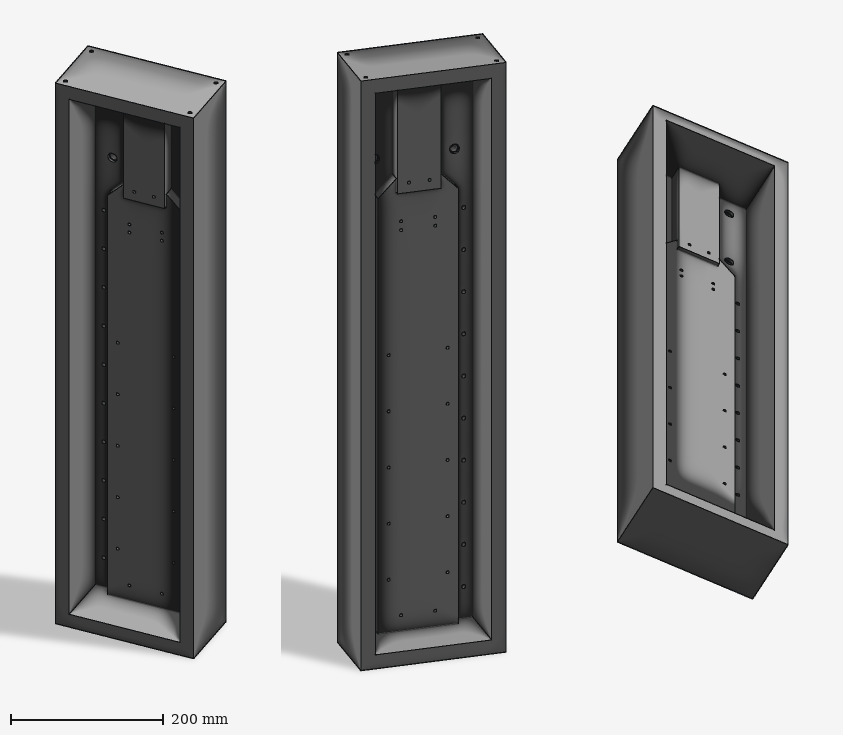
import cadquery as cq

width = 200.0
depth = 100.0
height = 840.0
wall = 20.0
back_thickness = 20.0
floor_y = depth - back_thickness
cavity_top_z = height - wall

block_width = 60.0
block_bottom_z = 645.5
block_thickness = 20.0
block_face_y = floor_y - block_thickness

plate_width = 110.5
plate_thickness = 15.0
plate_shoulder_z = 640.0
plate_top_z = plate_shoulder_z + (plate_width - block_width) / 2
plate_face_y = floor_y - plate_thickness

foot_radius = 0.5
select_margin = 0.1

bolt_diameter = 11.0
bolt_recess_diameter = 13.0
bolt_recess_depth = 4.0
bolt_spacing_x = 110.0
bolt_heights = [690.0, 795.0]

rail_diameter = 5.5
rail_spacing_x = 135.0
rail_first_z = 65.0
rail_pitch = 60.0
rail_count = 10

blind_diameter = 4.0
blind_depth = 12.0
plate_row_spacing_x = 81.0
plate_row_first_z = 95.0
plate_row_pitch = 80.0
plate_row_count = 5
plate_end_spacing_x = 47.0
plate_end_heights = [42.5, 591.0, 603.5]
block_hole_spacing_x = 28.5
block_hole_z = 659.5

corner_diameter = 5.0
corner_depth = 15.0
corner_inset = 10.0


def make_case():
    """Rectangular box, open at the front."""
    case = cq.Workplane("XY").box(width, depth, height, centered=(True, False, False))
    cavity = (
        cq.Workplane("XY", origin=(0, 0, wall))
        .box(width - 2 * wall, floor_y, cavity_top_z - wall, centered=(True, False, False))
    )
    return case.cut(cavity)


def make_plate():
    """Plate from the bottom wall up to its sloping shoulders."""
    half_plate = plate_width / 2
    half_block = block_width / 2
    outline = [
        (-half_plate, wall),
        (half_plate, wall),
        (half_plate, plate_shoulder_z),
        (half_block, plate_top_z),
        (-half_block, plate_top_z),
        (-half_plate, plate_shoulder_z),
    ]
    sketch_plane = cq.Workplane("XZ", origin=(0, floor_y, 0))
    return sketch_plane.polyline(outline).close().extrude(plate_thickness)


def make_block():
    """Block overlapping the top of the plate and reaching the top wall."""
    return (
        cq.Workplane("XY", origin=(0, block_face_y, block_bottom_z))
        .box(
            block_width,
            block_thickness,
            cavity_top_z - block_bottom_z,
            centered=(True, False, False),
        )
    )


def edges_in_plane(y, half_width, bottom_z, top_z):
    """Selector for edges whose centre lies in a rectangle of the plane at the given Y."""
    return cq.selectors.BoxSelector(
        (-half_width - select_margin, y - select_margin, bottom_z - select_margin),
        (half_width + select_margin, y + select_margin, top_z + select_margin),
    )


def round_feet(body):
    """Fillet the inner corners around the floor, the plate face and the block top."""
    floor_edges = edges_in_plane(floor_y, width / 2 - wall, wall, cavity_top_z)
    plate_edges = edges_in_plane(plate_face_y, block_width / 2, wall, plate_top_z)
    block_edges = edges_in_plane(block_face_y, block_width / 2, cavity_top_z, cavity_top_z)
    return body.edges(floor_edges + plate_edges + block_edges).fillet(foot_radius)


def mirrored_points(spacing, heights):
    """Pairs of points on both sides of the centre plane at each height."""
    return [(side * spacing / 2, z) for z in heights for side in (-1, 1)]


def pitched(first, pitch, count):
    """Evenly pitched heights."""
    return [first + pitch * index for index in range(count)]


def drill(body, face_y, points, diameter, length):
    """Cut round holes running toward +Y from the plane at face_y."""
    face_plane = cq.Workplane("XZ", origin=(0, face_y, 0))
    return body.cut(face_plane.pushPoints(points).circle(diameter / 2).extrude(-length))


def drill_back(body):
    """Bolt holes and rail holes through the back."""
    bolt_points = mirrored_points(bolt_spacing_x, bolt_heights)
    rail_points = mirrored_points(rail_spacing_x, pitched(rail_first_z, rail_pitch, rail_count))
    body = drill(body, floor_y, bolt_points, bolt_diameter, back_thickness)
    body = drill(body, floor_y, bolt_points, bolt_recess_diameter, bolt_recess_depth)
    return drill(body, floor_y, rail_points, rail_diameter, back_thickness)


def drill_plate_and_block(body):
    """Blind holes in the front faces of the plate and the block."""
    row_heights = pitched(plate_row_first_z, plate_row_pitch, plate_row_count)
    plate_points = mirrored_points(plate_row_spacing_x, row_heights)
    plate_points += mirrored_points(plate_end_spacing_x, plate_end_heights)
    block_points = mirrored_points(block_hole_spacing_x, [block_hole_z])
    body = drill(body, plate_face_y, plate_points, blind_diameter, blind_depth)
    return drill(body, block_face_y, block_points, blind_diameter, blind_depth)


def drill_top_corners(body):
    """Blind holes in the four corners of the top."""
    holes = (
        cq.Workplane("XY", origin=(0, depth / 2, height))
        .rect(width - 2 * corner_inset, depth - 2 * corner_inset, forConstruction=True)
        .vertices()
        .circle(corner_diameter / 2)
        .extrude(-corner_depth)
    )
    return body.cut(holes)


body = make_case().union(make_plate()).union(make_block())
body = round_feet(body)
body = drill_back(body)
body = drill_plate_and_block(body)
result = drill_top_corners(body)